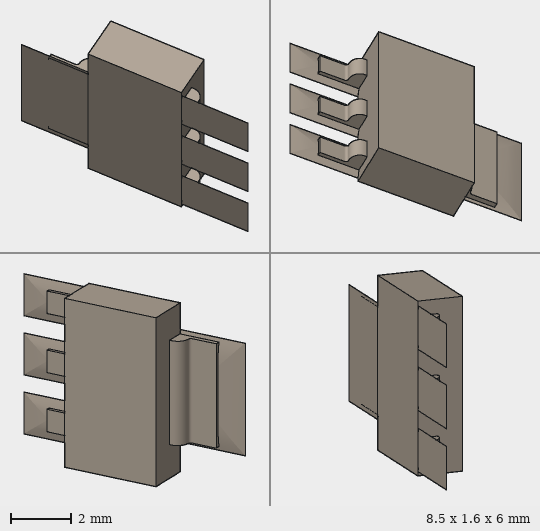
import cadquery as cq

total_length = 8.5
housing_length = 3.5
housing_depth = 1.6
housing_height = 6.0
lead_reach = (total_length - housing_length) / 2

foot_setback = 1.0
foot_thickness = 0.2
bend_inner_radius = 0.1
bend_outer_radius = 0.4
bend_reach = 0.485

base_thickness = 0.1
base_end_slope = 1.0

tab_foot_width = 3.71
tab_base_width = 4.0
tab_offset = 0.05
tab_side_slope = 1.0
pin_foot_width = 0.8
pin_base_width = 1.5
pin_side_slope = 0.74
pin_pitch = 2.1
pin_count = 3


def make_housing():
    return cq.Workplane("XY").box(
        housing_length, housing_depth, housing_height, centered=(True, False, True)
    )


def arc_drop(run):
    """Height at half the run on the circle that is level at the run's inner end."""
    radius = (run**2 + base_thickness**2) / (2 * base_thickness)
    return base_thickness - radius + (radius**2 - (run / 2) ** 2) ** 0.5


def make_foot(width):
    """Flat foot and rounded bend, running outward along +X from X = 0."""
    vertical_start = foot_thickness + bend_inner_radius
    bend_top = vertical_start + bend_outer_radius
    flat_end = bend_reach - bend_outer_radius
    diagonal = 0.5**0.5
    return (
        cq.Workplane("XY", origin=(0, 0, -width / 2))
        .lineTo(lead_reach - foot_setback, 0)
        .lineTo(lead_reach - foot_setback, foot_thickness)
        .lineTo(bend_reach + bend_inner_radius, foot_thickness)
        .threePointArc(
            (
                bend_reach + bend_inner_radius * (1 - diagonal),
                vertical_start - bend_inner_radius * diagonal,
            ),
            (bend_reach, vertical_start),
        )
        .threePointArc(
            (
                flat_end + bend_outer_radius * diagonal,
                vertical_start + bend_outer_radius * diagonal,
            ),
            (flat_end, bend_top),
        )
        .lineTo(0, bend_top)
        .close()
        .extrude(width)
    )


def make_base(width, side_slope):
    """Base that falls in arcs to its outer end and to both sides, with hips at the corners."""
    half_width = width / 2
    end_profile = (
        cq.Workplane("XY", origin=(0, 0, -half_width))
        .lineTo(lead_reach, 0)
        .threePointArc(
            (lead_reach - base_end_slope / 2, arc_drop(base_end_slope)),
            (lead_reach - base_end_slope, base_thickness),
        )
        .lineTo(0, base_thickness)
        .close()
        .extrude(width)
    )
    side_profile = (
        cq.Workplane("YZ")
        .moveTo(0, -half_width)
        .threePointArc(
            (arc_drop(side_slope), -half_width + side_slope / 2),
            (base_thickness, -half_width + side_slope),
        )
        .lineTo(base_thickness, half_width - side_slope)
        .threePointArc(
            (arc_drop(side_slope), half_width - side_slope / 2),
            (0, half_width),
        )
        .close()
        .extrude(lead_reach)
    )
    return end_profile.intersect(side_profile)


def make_lead(foot_width, base_width, side_slope):
    return make_foot(foot_width).union(make_base(base_width, side_slope))


housing = make_housing()

tab = (
    make_lead(tab_foot_width, tab_base_width, tab_side_slope)
    .rotate((0, 0, 0), (0, 1, 0), 180)
    .translate((-housing_length / 2, 0, tab_offset))
)

pins = []
for index in range(pin_count):
    pin_z = (index - (pin_count - 1) / 2) * pin_pitch
    pin = make_lead(pin_foot_width, pin_base_width, pin_side_slope)
    pins.append(pin.translate((housing_length / 2, 0, pin_z)).val())

result = cq.Compound.makeCompound([housing.val(), tab.val(), *pins])